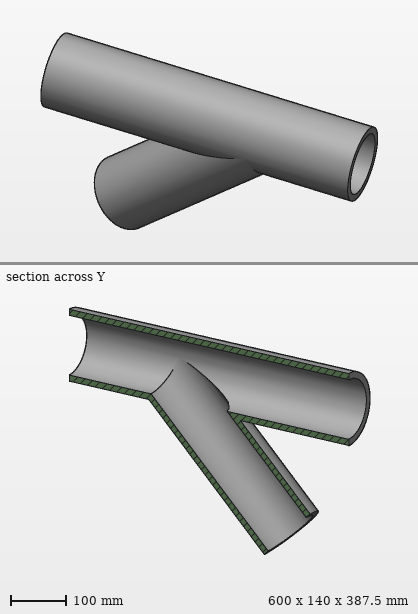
import cadquery as cq
import math

run_length = 600.0
outer_diameter = 140.0
bore_diameter = 114.5
branch_length = 379.0
branch_angle = 45.0
junction_x = 401.0

branch_direction = cq.Vector(
    -math.cos(math.radians(branch_angle)),
    0,
    -math.sin(math.radians(branch_angle)),
)


def run_cylinder(diameter):
    """Cylinder along the full straight run, starting at the origin."""
    return cq.Workplane("YZ").circle(diameter / 2).extrude(run_length)


def branch_cylinder(diameter):
    """Cylinder from the axis junction down to the open end of the branch."""
    branch_plane = cq.Plane(
        origin=(junction_x, 0, 0), xDir=(0, 1, 0), normal=branch_direction
    )
    return cq.Workplane(branch_plane).circle(diameter / 2).extrude(branch_length)


body = run_cylinder(outer_diameter).union(branch_cylinder(outer_diameter))
bores = run_cylinder(bore_diameter).union(branch_cylinder(bore_diameter))

result = body.cut(bores)